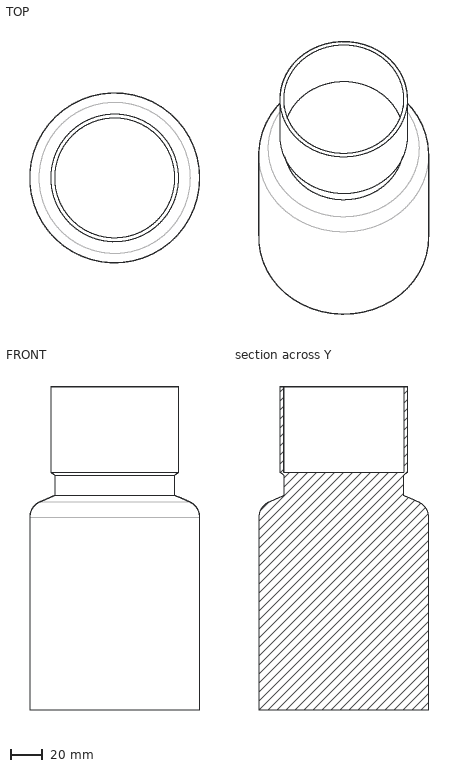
import cadquery as cq
import math

total_height = 205.0
body_diameter = 107.8
body_height = 122.2
neck_diameter = 76.0
cup_diameter = 81.0
cup_bottom = 148.8
cup_chamfer_height = 1.8

body_radius = body_diameter / 2
neck_radius = neck_diameter / 2
cup_radius = cup_diameter / 2
cup_chamfer_top = cup_bottom + cup_chamfer_height

crown_radius = body_diameter
knuckle_radius = body_diameter / 10
knuckle_center_radius = body_radius - knuckle_radius
knuckle_end_angle = math.acos(knuckle_center_radius / (crown_radius - knuckle_radius))
crown_center_height = body_height - (crown_radius - knuckle_radius) * math.sin(knuckle_end_angle)


def knuckle_point(angle):
    """Profile point on the knuckle, with the angle measured up from horizontal."""
    return (
        knuckle_center_radius + knuckle_radius * math.cos(angle),
        body_height + knuckle_radius * math.sin(angle),
    )


def crown_point(radius):
    """Profile point on the crown at a given distance from the axis."""
    return (radius, crown_center_height + math.sqrt(crown_radius**2 - radius**2))


knuckle_middle = knuckle_point(knuckle_end_angle / 2)
knuckle_end = knuckle_point(knuckle_end_angle)
crown_middle = crown_point((knuckle_end[0] + neck_radius) / 2)
crown_end = crown_point(neck_radius)

outside = (
    cq.Workplane("XZ")
    .lineTo(body_radius, 0)
    .lineTo(body_radius, body_height)
    .threePointArc(knuckle_middle, knuckle_end)
    .threePointArc(crown_middle, crown_end)
    .lineTo(neck_radius, cup_bottom)
    .lineTo(cup_radius, cup_chamfer_top)
    .lineTo(cup_radius, total_height)
    .lineTo(0, total_height)
    .close()
    .revolve(360, (0, 0, 0), (0, 1, 0))
)

cup_bore = (
    cq.Workplane("XY")
    .workplane(offset=cup_chamfer_top)
    .circle(neck_radius)
    .extrude(total_height - cup_chamfer_top)
)

result = outside.cut(cup_bore)